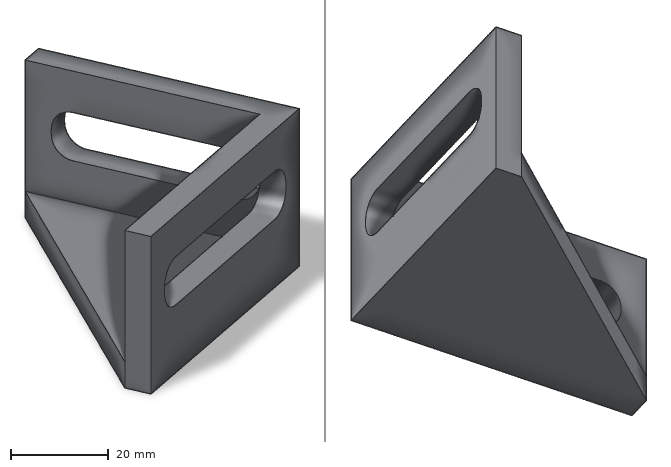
import cadquery as cq

length_x = 60.0
length_y = 66.0
height = 36.0

thickness = 6.0

slot_width = 11.0
slot_corner_radius = 5.0
slot_height = 21.0

inner_x = length_x - thickness
inner_y = length_y - thickness


def slot_cutter(length):
    """Slot with rounded corners, lying along X, centred at the slot height, cutting along Y."""
    return (
        cq.Workplane("XZ")
        .center(0, slot_height)
        .rect(length, slot_width)
        .extrude(thickness, both=True)
        .edges("|Y")
        .fillet(slot_corner_radius)
    )


back_wall = cq.Workplane("XY").box(length_x, thickness, height, centered=False).translate((0, inner_y, 0))
side_wall = cq.Workplane("XY").box(thickness, length_y, height, centered=False).translate((inner_x, 0, 0))

floor = (
    cq.Workplane("XY")
    .polyline([(0, inner_y), (inner_x, inner_y), (inner_x, 0)])
    .close()
    .extrude(thickness)
)

back_slot = slot_cutter(inner_x - thickness).translate(
    ((inner_x + thickness) / 2, length_y - thickness / 2, 0)
)
side_slot = (
    slot_cutter(inner_y - thickness)
    .rotate((0, 0, 0), (0, 0, 1), 90)
    .translate((length_x - thickness / 2, (inner_y + thickness) / 2, 0))
)

result = back_wall.union(side_wall).union(floor).cut(back_slot).cut(side_slot)